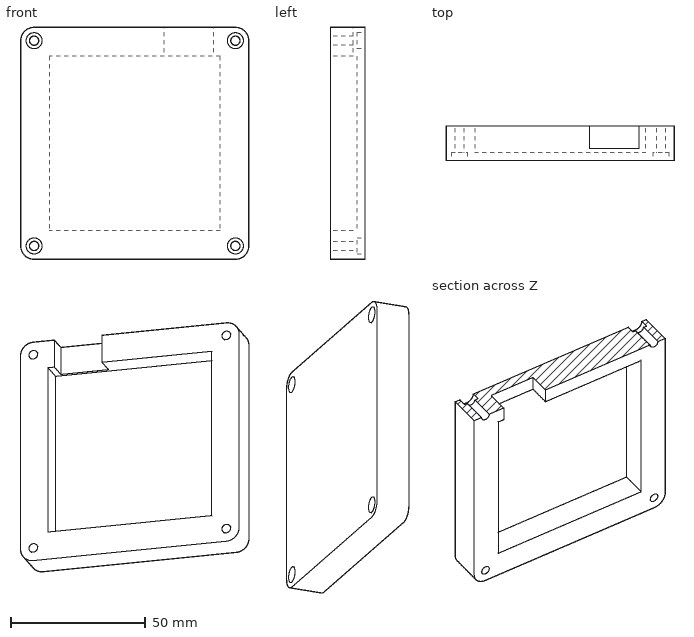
import cadquery as cq

width = 85.0
depth = 13.0
height = 86.5
corner_radius = 5.0

hole_diameter = 3.4
counterbore_diameter = 6.0
counterbore_depth = 3.1
hole_inset = corner_radius

wall = 10.7
floor_thickness = 3.0

notch_left = 10.8
notch_right = 29.3
notch_sill = 4.5

front_y = -depth / 2
back_y = depth / 2


def box_between(x_range, y_range, z_range):
    """Box spanning the given (low, high) range on each axis."""
    lows, highs = zip(x_range, y_range, z_range)
    sizes = [high - low for low, high in zip(lows, highs)]
    return cq.Workplane("XY").box(*sizes, centered=False).translate(lows)


def rounded_block():
    """Plate with rounded corners, which run along Y."""
    return cq.Workplane("XY").box(width, depth, height).edges("|Y").fillet(corner_radius)


def drill_screw_holes(body):
    """Four through holes, counterbored from the front face."""
    pitch_x = width - 2 * hole_inset
    pitch_z = height - 2 * hole_inset
    return (
        body.faces("<Y")
        .workplane(centerOption="CenterOfBoundBox")
        .rect(pitch_x, pitch_z, forConstruction=True)
        .vertices()
        .cboreHole(hole_diameter, counterbore_diameter, counterbore_depth)
    )


def cavity():
    """Rectangular pocket that leaves the floor and an even wall all round."""
    half_x = width / 2 - wall
    half_z = height / 2 - wall
    return box_between((-half_x, half_x), (front_y + floor_thickness, back_y), (-half_z, half_z))


def cable_notch():
    """Opening through the top wall, from the cavity to the top side."""
    return box_between(
        (notch_left, notch_right),
        (front_y + notch_sill, back_y),
        (height / 2 - wall, height / 2),
    )


result = drill_screw_holes(rounded_block()).cut(cavity()).cut(cable_notch())